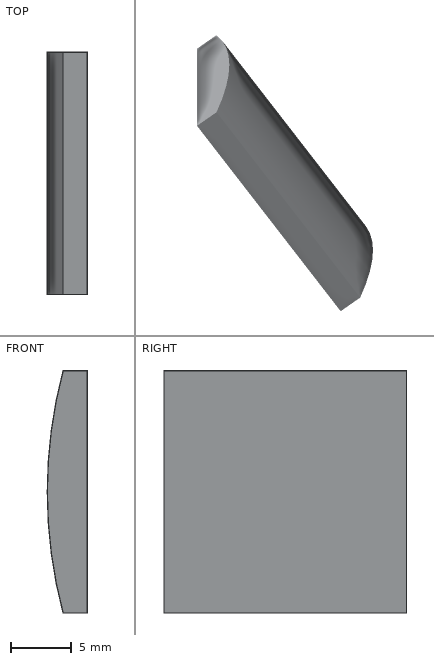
import cadquery as cq

height = 20.0
length = 20.0
edge_thickness = 2.0
centre_thickness = 3.31

half_height = height / 2


def lens_profile():
    """Closed XZ outline: three straight sides and one convex arc."""
    return (
        cq.Workplane("XZ")
        .moveTo(-edge_thickness, -half_height)
        .lineTo(0, -half_height)
        .lineTo(0, half_height)
        .lineTo(-edge_thickness, half_height)
        .threePointArc((-centre_thickness, 0), (-edge_thickness, -half_height))
        .close()
    )


result = lens_profile().extrude(length / 2, both=True)